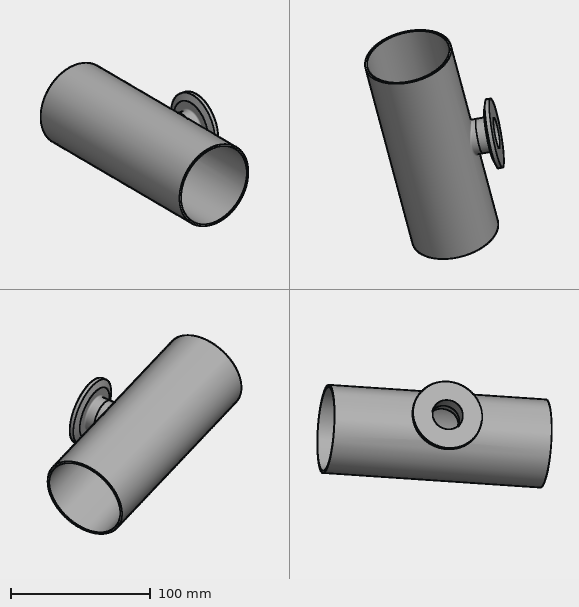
import cadquery as cq

tube_length = 158.8
tube_radius = 31.8
wall = 1.6

branch_radius = 12.7
bore_radius = branch_radius - wall
branch_root_fillet = 1.3

face_y = 47.6
ferrule_length = 12.7
flange_radius = 25.2
flange_rim_thickness = 3.2
flange_thickness = 5.1
flange_back_radius = 19.7
neck_fillet = 1.3
joint_y = face_y - ferrule_length


def cylinder_along_x(radius):
    """Solid cylinder over the full tube length, centred on the origin."""
    return cq.Workplane("YZ").circle(radius).extrude(tube_length / 2, both=True)


def cylinder_along_y(radius, end_y):
    """Solid cylinder from the tube axis out to end_y."""
    return cq.Workplane("XZ").circle(radius).extrude(-end_y)


def make_tee():
    """Tube with a short branch, filleted at its root and bored into the tube."""
    tee = cylinder_along_x(tube_radius).union(cylinder_along_y(branch_radius, joint_y))
    root_box = cq.selectors.BoxSelector(
        (-branch_radius - wall, tube_radius / 2, -branch_radius - wall),
        (branch_radius + wall, tube_radius, branch_radius + wall),
    )
    tee = tee.edges(root_box).fillet(branch_root_fillet)
    tee = tee.cut(cylinder_along_x(tube_radius - wall))
    return tee.cut(cylinder_along_y(bore_radius, joint_y))


def make_ferrule():
    """Bored neck with a flange whose back is bevelled towards the rim."""
    rim_y = face_y - flange_rim_thickness
    back_y = face_y - flange_thickness
    profile = (
        cq.Workplane("XY")
        .moveTo(bore_radius, joint_y)
        .lineTo(branch_radius, joint_y)
        .lineTo(branch_radius, back_y - neck_fillet)
        .radiusArc((branch_radius + neck_fillet, back_y), neck_fillet)
        .lineTo(flange_back_radius, back_y)
        .lineTo(flange_radius, rim_y)
        .lineTo(flange_radius, face_y)
        .lineTo(bore_radius, face_y)
        .close()
    )
    return profile.revolve(360, (0, 0, 0), (0, 1, 0))


tee = make_tee()
ferrule = make_ferrule()

result = cq.Compound.makeCompound([tee.val(), ferrule.val()])